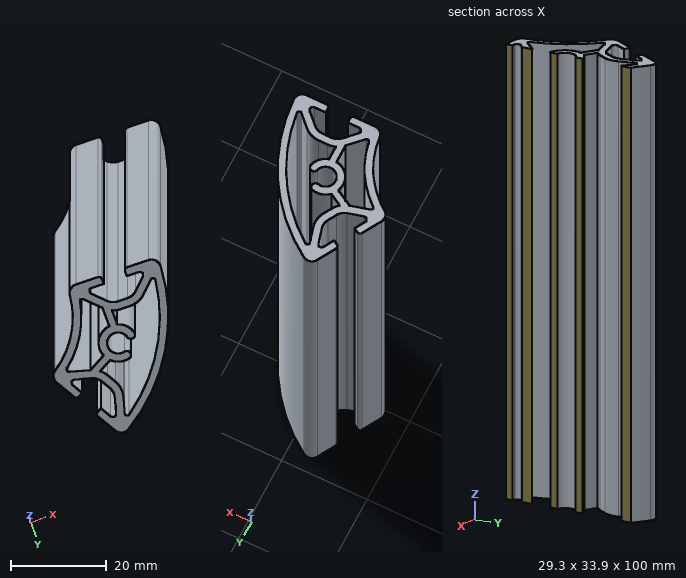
import cadquery as cq
import math

LENGTH = 100.0
OUTER_RADIUS = 40.0
INNER_RADIUS = 20.0
SECTOR_ANGLE = 60.0
WALL = 1.8
CORNER_RADIUS = 2.0
CAVITY_CORNER_RADIUS = 0.5

SLOT_OPENING = 5.1
SLOT_DEPTH = 6.4
LIP_THICKNESS = 1.8
LIP_EDGE_RADIUS = 0.7
SLOT_FLANK_REACH = 8.7
SLOT_FLOOR_RADIUS = 3.0
SLOT_CORNER_RADIUS = 0.7

CHANNEL_RADIUS = 2.3
CHANNEL_OPENING_HALF_ANGLE = 45.0

WEB_THICKNESS = 1.7
WEB_OFFSET = 3.7

MID_RADIUS = (OUTER_RADIUS + INNER_RADIUS) / 2
BISECTOR_ANGLE = SECTOR_ANGLE / 2
CHANNEL_MID_RADIUS = CHANNEL_RADIUS + WALL / 2
HOUSING_FLANK_REACH = SLOT_FLANK_REACH + WALL * math.sqrt(2)


def polar(radius, angle, center=(0.0, 0.0)):
    """Point at a radius and an angle in degrees around a centre."""
    turn = math.radians(angle)
    return (center[0] + radius * math.cos(turn), center[1] + radius * math.sin(turn))


CHANNEL_CENTER = polar(MID_RADIUS, BISECTOR_ANGLE)


def ring_sector(inner, outer, start, end, center=(0.0, 0.0)):
    """Full-length ring sector between two radii and two angles."""
    middle = (start + end) / 2
    return (
        cq.Workplane("XY")
        .moveTo(*polar(inner, start, center))
        .lineTo(*polar(outer, start, center))
        .threePointArc(polar(outer, middle, center), polar(outer, end, center))
        .lineTo(*polar(inner, end, center))
        .threePointArc(polar(inner, middle, center), polar(inner, start, center))
        .close()
        .extrude(LENGTH)
    )


def bar(center_x, width, bottom, top):
    """Full-length rectangular bar centred on an X position, between two heights along Y."""
    return (
        cq.Workplane("XY")
        .center(center_x, (bottom + top) / 2)
        .rect(width, top - bottom)
        .extrude(LENGTH)
    )


def trapezoid(flank_reach, bottom, top):
    """Full-length trapezoid on the slot centreline with 45 degree flanks, narrowing along +Y."""
    bottom_half = flank_reach - bottom
    top_half = flank_reach - top
    corners = [
        (MID_RADIUS - bottom_half, bottom),
        (MID_RADIUS + bottom_half, bottom),
        (MID_RADIUS + top_half, top),
        (MID_RADIUS - top_half, top),
    ]
    return cq.Workplane("XY").polyline(corners).close().extrude(LENGTH)


def mirrored(shape):
    """Copy of a shape reflected in the bisector plane of the sector."""
    return shape.mirror("XZ").rotate((0, 0, 0), (0, 0, 1), SECTOR_ANGLE)


def outline():
    """Solid ring sector with its four long corners rounded."""
    body = ring_sector(INNER_RADIUS, OUTER_RADIUS, 0, SECTOR_ANGLE)
    return body.edges("|Z").fillet(CORNER_RADIUS)


def slot():
    """T-slot void: the chamber behind the lips plus the opening between them."""
    chamber = (
        trapezoid(SLOT_FLANK_REACH, LIP_THICKNESS, SLOT_DEPTH)
        .edges("|Z and >Y").fillet(SLOT_FLOOR_RADIUS)
        .edges("|Z and <Y").fillet(SLOT_CORNER_RADIUS)
    )
    return chamber.union(bar(MID_RADIUS, SLOT_OPENING, 0, SLOT_DEPTH / 2))


def slotted(body):
    """Body with the T-slot cut into the face on the XZ plane and its outer lip edges rounded."""
    grip = SLOT_OPENING / 2 + LIP_EDGE_RADIUS
    lip_edges = cq.selectors.BoxSelector(
        (MID_RADIUS - grip, -LIP_EDGE_RADIUS, 0),
        (MID_RADIUS + grip, LIP_EDGE_RADIUS, LENGTH),
    )
    return body.cut(slot()).edges("|Z").edges(lip_edges).fillet(LIP_EDGE_RADIUS)


def slot_housing():
    """Slot chamber thickened by the wall on its floor and flanks."""
    housing = trapezoid(HOUSING_FLANK_REACH, 0, SLOT_DEPTH + WALL)
    return housing.edges("|Z and >Y").fillet(SLOT_FLOOR_RADIUS + WALL)


def web():
    """Straight rib from inside the slot housing into the wall of the screw channel."""
    return bar(MID_RADIUS - WEB_OFFSET, WEB_THICKNESS, 0, CHANNEL_CENTER[1] - CHANNEL_MID_RADIUS)


def screw_channel():
    """C-shaped channel with fully rounded tips."""
    start = BISECTOR_ANGLE + CHANNEL_OPENING_HALF_ANGLE
    end = BISECTOR_ANGLE + 360 - CHANNEL_OPENING_HALF_ANGLE
    channel = ring_sector(CHANNEL_RADIUS, CHANNEL_RADIUS + WALL, start, end, CHANNEL_CENTER)
    for angle in (start, end):
        tip = polar(CHANNEL_MID_RADIUS, angle, CHANNEL_CENTER)
        channel = channel.union(cq.Workplane("XY").center(*tip).circle(WALL / 2).extrude(LENGTH))
    return channel


def housing_corner_angle(radius, side):
    """Polar angle where a housing flank meets an arc; side is -1 for the inner flank, 1 for the outer."""
    distance_from_axis = (HOUSING_FLANK_REACH + side * MID_RADIUS) / math.sqrt(2)
    normal_angle = 90 - side * 45
    return normal_angle - math.degrees(math.acos(distance_from_axis / radius))


def cavities():
    """Two closed voids between the arc walls, left around the housings, webs and channel."""
    inner_wall_radius = INNER_RADIUS + WALL
    outer_wall_radius = OUTER_RADIUS - WALL
    void = ring_sector(inner_wall_radius, outer_wall_radius, 0, SECTOR_ANGLE)
    for part in (slot_housing(), web()):
        void = void.cut(part).cut(mirrored(part))
    void = void.cut(screw_channel())

    for radius, side in ((inner_wall_radius, -1), (outer_wall_radius, 1)):
        corner_angle = housing_corner_angle(radius, side)
        for angle in (corner_angle, SECTOR_ANGLE - corner_angle):
            corner = cq.NearestToPointSelector((*polar(radius, angle), LENGTH / 2))
            void = void.edges(corner).fillet(CAVITY_CORNER_RADIUS)
    return void


one_slot = slotted(outline())
both_slots = slotted(mirrored(one_slot))
result = both_slots.cut(cavities())